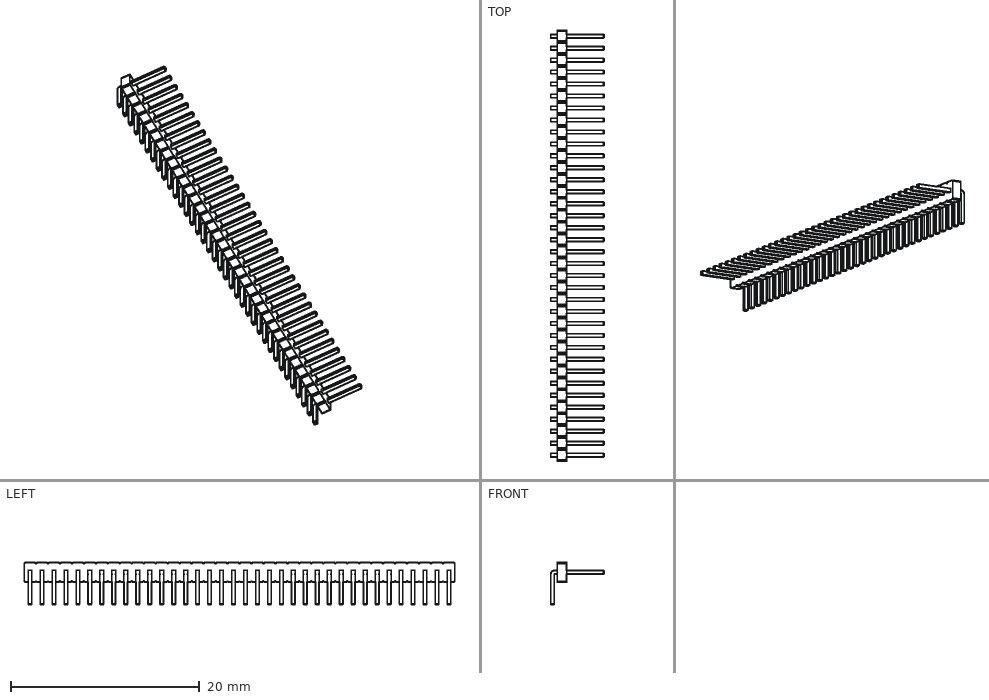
import cadquery as cq


PIN_COUNT = 36
PITCH = 1.27

PIN_SIZE = 0.4
PIN_LENGTH = 5.7
LEG_LENGTH = 3.65
BEND_RADIUS = 0.4
TIP_CHAMFER = 0.1

BODY_THICKNESS = 1.0
BODY_HEIGHT = 2.1
LEG_TO_BODY = 0.3
BLOCK_CHAMFER = PITCH / 10

LEG_FACE_X = -PIN_SIZE / 2
PIN_TOP_Z = PIN_SIZE / 2
BODY_X = PIN_SIZE / 2 + LEG_TO_BODY


def make_block():
    """One body block with its four X-direction edges chamfered."""
    return (
        cq.Workplane("XY")
        .box(BODY_THICKNESS, PITCH, BODY_HEIGHT)
        .edges("|X")
        .chamfer(BLOCK_CHAMFER)
        .translate((BODY_X + BODY_THICKNESS / 2, 0, 0))
    )


def make_pin():
    """One L-shaped pin with a rounded outer bend and tapered tips."""
    horizontal = (
        cq.Workplane("XY")
        .box(PIN_LENGTH, PIN_SIZE, PIN_SIZE)
        .translate((LEG_FACE_X + PIN_LENGTH / 2, 0, 0))
        .faces(">X")
        .chamfer(TIP_CHAMFER)
    )
    leg = (
        cq.Workplane("XY")
        .box(PIN_SIZE, PIN_SIZE, LEG_LENGTH)
        .translate((0, 0, PIN_TOP_Z - LEG_LENGTH / 2))
        .faces("<Z")
        .chamfer(TIP_CHAMFER)
    )
    outer_corner = cq.selectors.NearestToPointSelector((LEG_FACE_X, 0, PIN_TOP_Z))
    return horizontal.union(leg).clean().edges("|Y").edges(outer_corner).fillet(BEND_RADIUS)


def make_header():
    """The full row: blocks joined side by side, each carrying one pin."""
    unit = make_block().union(make_pin()).val()
    first_y = -PITCH * (PIN_COUNT - 1) / 2
    units = [unit.translate(cq.Vector(0, first_y + i * PITCH, 0)) for i in range(PIN_COUNT)]
    return cq.Workplane(obj=units[0].fuse(*units[1:]).clean())


result = make_header()